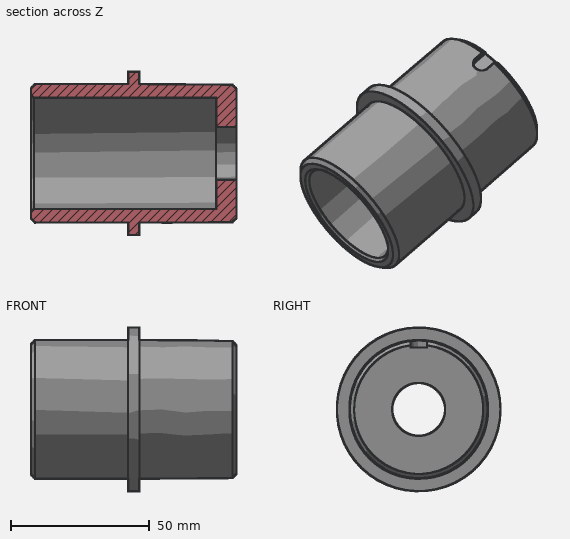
import cadquery as cq

length = 74.0
sleeve_radius = 25.0
tapered_end_radius = 24.8
end_chamfer = 1.55

collar_diameter = 59.0
collar_radius = collar_diameter / 2
collar_start = 35.0
collar_width = 4.0
collar_end = collar_start + collar_width

bore_radius = 20.0
bore_mouth_radius = 21.0
bore_mouth_depth = bore_mouth_radius - bore_radius
bore_depth = 66.6
through_hole_radius = 9.5

key_width = 6.0
key_length = 8.0
key_depth = 2.45


def revolve_about_x(points):
    """Revolve a closed (x, radius) outline about the X axis."""
    return cq.Workplane("XY").polyline(points).close().revolve(360, (0, 0, 0), (1, 0, 0))


def make_body():
    return revolve_about_x([
        (0, 0),
        (0, sleeve_radius - end_chamfer),
        (end_chamfer, sleeve_radius),
        (collar_start, sleeve_radius),
        (collar_start, collar_radius),
        (collar_end, collar_radius),
        (collar_end, sleeve_radius),
        (length - end_chamfer, tapered_end_radius),
        (length, tapered_end_radius - end_chamfer),
        (length, 0),
    ])


def make_bore():
    return revolve_about_x([
        (0, 0),
        (0, bore_mouth_radius),
        (bore_mouth_depth, bore_radius),
        (bore_depth, bore_radius),
        (bore_depth, through_hole_radius),
        (length, through_hole_radius),
        (length, 0),
    ])


def make_keyway():
    """Flat-bottomed slot, round at its inner end and open at the +X face."""
    round_center = length - key_length + key_width / 2
    half_width = key_width / 2
    return (
        cq.Workplane("XY", origin=(0, 0, tapered_end_radius - key_depth))
        .moveTo(length, -half_width)
        .lineTo(round_center, -half_width)
        .threePointArc((length - key_length, 0), (round_center, half_width))
        .lineTo(length, half_width)
        .close()
        .extrude(2 * key_depth)
    )


result = make_body().cut(make_bore()).cut(make_keyway())